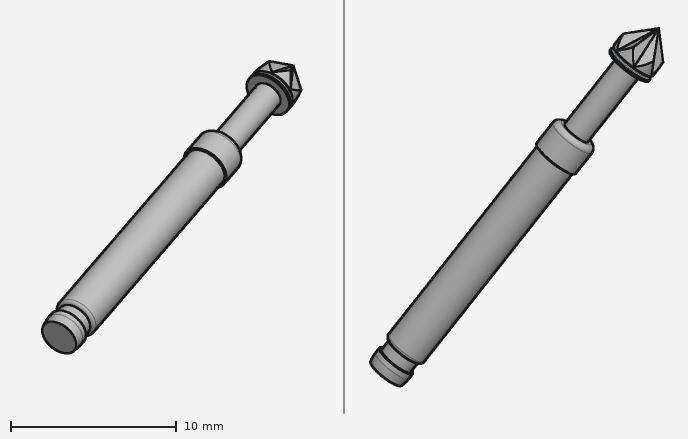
import cadquery as cq
import math

length = 27.3

flange_radius = 1.28
tail_face_radius = 1.2
flange_round_start = 0.63
flange_end = 1.0
neck_radius = 1.12

barrel_start = 1.77
barrel_radius = 1.36
barrel_round = barrel_radius - neck_radius
collar_start = 17.0
collar_end = 19.03
collar_radius = 1.5
collar_round = 0.38

plunger_radius = 0.9
head_radius = 1.5
head_start = 24.32
groove_start = 24.45
groove_end = 24.73
groove_radius = 1.3
groove_fillet = 0.08

ridge_count = 6
ridge_depth = 1.55
valley_depth = 2.45

diagonal = math.sqrt(0.5)


def make_shaft():
    """Everything except the pointed head, revolved about Y."""
    barrel_round_mid = (
        barrel_radius - barrel_round * (1 - diagonal),
        barrel_start + barrel_round * (1 - diagonal),
    )
    collar_round_mid = (
        collar_radius - collar_round * (1 - diagonal),
        collar_end - collar_round * (1 - diagonal),
    )
    radius_drop = flange_radius - tail_face_radius
    tail_arc_radius = (flange_round_start**2 + radius_drop**2) / (2 * radius_drop)
    half_angle = math.asin(flange_round_start / tail_arc_radius) / 2
    tail_round_mid = (
        flange_radius - tail_arc_radius * (1 - math.cos(half_angle)),
        flange_round_start - tail_arc_radius * math.sin(half_angle),
    )
    profile = (
        cq.Workplane("XY")
        .lineTo(tail_face_radius, 0)
        .threePointArc(tail_round_mid, (flange_radius, flange_round_start))
        .lineTo(flange_radius, flange_end)
        .lineTo(neck_radius, flange_end)
        .lineTo(neck_radius, barrel_start)
        .threePointArc(barrel_round_mid, (barrel_radius, barrel_start + barrel_round))
        .lineTo(barrel_radius, collar_start)
        .lineTo(collar_radius, collar_start)
        .lineTo(collar_radius, collar_end - collar_round)
        .threePointArc(collar_round_mid, (collar_radius - collar_round, collar_end))
        .lineTo(plunger_radius, collar_end)
        .lineTo(plunger_radius, head_start)
        .lineTo(0, head_start)
        .close()
    )
    return profile.revolve(360, (0, 0), (0, 1))


def make_head_blank():
    """Grooved cylinder from which the star point is formed."""
    profile = (
        cq.Workplane("XY")
        .moveTo(0, head_start)
        .lineTo(head_radius, head_start)
        .lineTo(head_radius, groove_start)
        .lineTo(groove_radius, groove_start)
        .lineTo(groove_radius, groove_end)
        .lineTo(head_radius, groove_end)
        .lineTo(head_radius, length)
        .lineTo(0, length)
        .close()
    )
    blank = profile.revolve(360, (0, 0), (0, 1))
    groove_corners = blank.edges("%CIRCLE").edges(cq.selectors.RadiusNthSelector(0))
    return groove_corners.fillet(groove_fillet)


def make_star_pyramid():
    """Pyramid with a star base at the back of the head and its apex at the tip."""
    height = length - head_start
    apex = cq.Vector(0, length, 0)
    base = []
    for corner in range(2 * ridge_count):
        is_ridge = corner % 2 == 0
        depth = ridge_depth if is_ridge else valley_depth
        radius = head_radius * height / depth
        angle = corner * math.pi / ridge_count
        base.append(cq.Vector(radius * math.cos(angle), head_start, radius * math.sin(angle)))
    faces = [cq.Face.makeFromWires(cq.Wire.makePolygon(base, close=True))]
    for start, end in zip(base, base[1:] + base[:1]):
        faces.append(cq.Face.makeFromWires(cq.Wire.makePolygon([start, end, apex], close=True)))
    return cq.Workplane(cq.Solid.makeSolid(cq.Shell.makeShell(faces)))


head = make_head_blank().intersect(make_star_pyramid())
result = make_shaft().union(head)